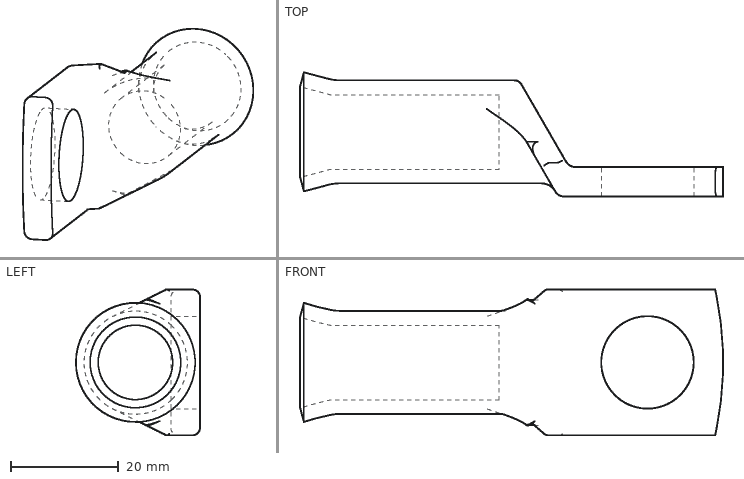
import cadquery as cq
import math

total_length = 78.35
barrel_radius = 9.55
bore_radius = 6.9
bore_depth = 36.8

mouth_radius = 11.05
flare_angle = math.radians(15)
wall_at_mouth = 2.75
flare_bend_start = 5.2
flare_bend_end = 7.45

palm_width = 27.0
palm_outer_y = -12.0
palm_thickness = 5.5
palm_inner_y = palm_outer_y + palm_thickness
hole_radius = 8.55
hole_x = 64.3
end_bulge = 1.5

neck_angle = math.radians(60)
neck_inner_x = 49.8
neck_outer_x = 47.8
taper_angle = math.radians(26.5)
inner_bend_radius = 2.0
outer_bend_radius = 1.9
edge_radius = 1.5
root_radius = 2.75
root_cover = 0.8

slab_top_y = 23.5

margin = 0.04


def upper_neck_x(y):
    return neck_inner_x - (y - palm_inner_y) / math.tan(neck_angle)


def lower_neck_x(y):
    return neck_outer_x - (y - palm_outer_y) / math.tan(neck_angle)


def near_bend(x, y):
    """Select the crosswise bend edge at the given corner of the strap."""
    return cq.selectors.BoxSelector((x - margin, y - margin, -margin), (x + margin, y + margin, margin))


def make_barrel():
    """Return the solid barrel and the bore to cut from it."""
    lip_depth = wall_at_mouth * math.sin(flare_angle)
    mouth_inner_radius = mouth_radius - wall_at_mouth * math.cos(flare_angle)
    bend_radius = (flare_bend_end - flare_bend_start) / math.sin(flare_angle)

    def bend_offset(angle):
        return bend_radius * (1 - math.cos(angle))

    bend_middle_x = flare_bend_end - bend_radius * math.sin(flare_angle / 2)
    flare_depth = (mouth_inner_radius - bore_radius) / math.tan(flare_angle)
    barrel = (
        cq.Workplane("XY")
        .moveTo(0, 0)
        .lineTo(0, mouth_inner_radius)
        .lineTo(lip_depth, mouth_radius)
        .lineTo(flare_bend_start, barrel_radius + bend_offset(flare_angle))
        .threePointArc(
            (bend_middle_x, barrel_radius + bend_offset(flare_angle / 2)),
            (flare_bend_end, barrel_radius),
        )
        .lineTo(total_length, barrel_radius)
        .lineTo(total_length, 0)
        .close()
        .revolve(360, (0, 0, 0), (1, 0, 0))
    )
    bore = (
        cq.Workplane("XY")
        .polyline([
            (0, 0),
            (0, mouth_inner_radius),
            (flare_depth, bore_radius),
            (bore_depth, bore_radius),
            (bore_depth, 0),
        ])
        .close()
        .revolve(360, (0, 0, 0), (1, 0, 0))
    )
    return barrel, bore


def round_outer_edges(strap):
    """Round the edges along the outer palm face, the outer bend and the lower neck face."""

    def is_outer_edge(edge):
        middle = edge.positionAt(0.5)
        on_palm = middle.y < palm_outer_y + margin
        on_neck = abs(middle.x - lower_neck_x(middle.y)) < margin
        on_bend = edge.geomType() == "CIRCLE" and middle.x < neck_inner_x
        return (on_palm or on_neck or on_bend) and abs(middle.z) > barrel_radius * math.cos(taper_angle)

    edges = [edge for edge in strap.edges().vals() if is_outer_edge(edge)]
    return strap.newObject(edges).fillet(edge_radius)


def make_body(barrel):
    """Join barrel, neck and palm, with the root blended and the outer edges rounded."""
    half_width = palm_width / 2
    tangent_y = barrel_radius * math.sin(taper_angle)
    tangent_z = barrel_radius * math.cos(taper_angle)
    shoulder_y = tangent_y - (half_width - tangent_z) / math.tan(taper_angle)

    slab = (
        cq.Workplane("XY")
        .polyline([
            (upper_neck_x(slab_top_y), slab_top_y),
            (neck_inner_x, palm_inner_y),
            (total_length, palm_inner_y),
            (total_length, palm_outer_y),
            (neck_outer_x, palm_outer_y),
            (lower_neck_x(slab_top_y), slab_top_y),
        ])
        .close()
        .extrude(palm_width, both=True)
    )
    barrel_side = (
        cq.Workplane("XY")
        .polyline([
            (0, slab_top_y),
            (upper_neck_x(slab_top_y), slab_top_y),
            (neck_inner_x, palm_inner_y),
            (neck_outer_x, palm_outer_y),
            (0, palm_outer_y),
        ])
        .close()
        .extrude(palm_width, both=True)
    )
    body = round_root(slab.union(barrel.intersect(barrel_side)))

    section = (
        cq.Workplane("YZ")
        .polyline([
            (palm_outer_y, -half_width),
            (shoulder_y, -half_width),
            (tangent_y, -tangent_z),
            (tangent_y, tangent_z),
            (shoulder_y, half_width),
            (palm_outer_y, half_width),
        ])
        .close()
        .extrude(total_length)
    )
    outline = (
        cq.Workplane("XZ")
        .moveTo(0, -half_width)
        .lineTo(total_length - end_bulge, -half_width)
        .threePointArc((total_length, 0), (total_length - end_bulge, half_width))
        .lineTo(0, half_width)
        .close()
        .extrude(palm_width, both=True)
    )
    body = body.intersect(section.union(barrel)).intersect(outline)
    strap = slab.intersect(section).intersect(outline)
    strap = strap.edges(near_bend(neck_outer_x, palm_outer_y)).fillet(outer_bend_radius)
    body = body.edges(near_bend(neck_outer_x, palm_outer_y)).fillet(outer_bend_radius)

    root_reach = (
        cq.Workplane("YZ")
        .circle(barrel_radius + root_radius * root_cover)
        .extrude(total_length)
    )
    trimmings = strap.cut(round_outer_edges(strap)).cut(root_reach)
    return body.cut(trimmings)


def round_inner_rim(body):
    """Round the border of the inner palm face and the upper neck face, around the barrel end."""

    def is_rim_edge(edge):
        start, end = edge.startPoint(), edge.endPoint()
        points = (start, edge.positionAt(0.5), end)
        on_palm = all(abs(p.y - palm_inner_y) < margin for p in points)
        on_neck = all(abs(p.x - upper_neck_x(p.y)) < margin for p in points)
        crosses_width = edge.geomType() != "ELLIPSE" and abs(start.z - end.z) > palm_width / 2
        return (on_palm or on_neck) and not crosses_width

    edges = [edge for edge in body.edges().vals() if is_rim_edge(edge)]
    return body.newObject(edges).fillet(edge_radius)


def round_root(body):
    """Blend the barrel into the lower neck face."""

    def is_root_edge(edge):
        middle = edge.positionAt(0.5)
        on_lower_neck = abs(middle.x - lower_neck_x(middle.y)) < margin
        on_barrel = abs(math.hypot(middle.y, middle.z) - barrel_radius) < margin
        return on_lower_neck and on_barrel

    edges = [edge for edge in body.edges().vals() if is_root_edge(edge)]
    return body.newObject(edges).fillet(root_radius)


barrel, bore = make_barrel()
body = make_body(barrel)
body = round_inner_rim(body)
body = body.edges(near_bend(neck_inner_x, palm_inner_y)).fillet(inner_bend_radius)
hole = (
    cq.Workplane("XZ")
    .center(hole_x, 0)
    .circle(hole_radius)
    .extrude(palm_width, both=True)
)
result = body.cut(bore).cut(hole)